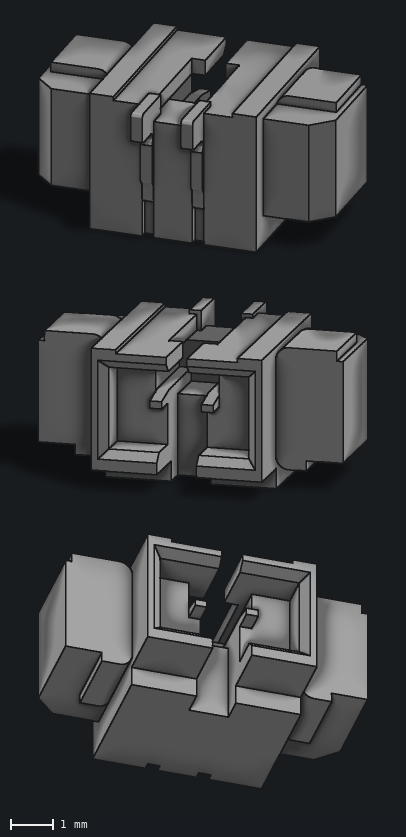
import cadquery as cq
import math

HEIGHT = 3.5
WIDTH = 7.5

HOUSING_HALF_WIDTH = 2.1
HOUSING_DEPTH = 4.5
FOOT_DEPTH = 3.19
FOOT_HEIGHT = 0.5
RECESS_HALF_WIDTH = 1.5
RECESS_DEPTH = 0.1
ROOF_Z = HEIGHT - RECESS_DEPTH

WINDOW_HALF_WIDTH = 0.6
WINDOW_REAR_Y = 3.0
WINDOW_FLOOR_Z = 3.01
REAR_GAP_HALF_WIDTH = 0.255
WELL_FRONT_Y = 1.39
WELL_FLOOR_Z = 2.0
THROUGH_SLOT_FRONT_Y = 2.59

CAVITY_HALF_WIDTH = 1.725
CAVITY_FRONT_Y = 3.525
CAVITY_BOTTOM_Z = 1.0
CAVITY_LEAD_IN = 0.21

WING_FRONT_Y = 0.495
WING_REAR_Y = 3.23
TAB_RISE = 0.25
WING_TOP_Z = HEIGHT - TAB_RISE
WING_BOTTOM_Z = FOOT_HEIGHT + TAB_RISE
WING_CHAMFER = 0.5
TAB_FRONT_Y = 1.45
UPPER_TAB_X = 3.6
LOWER_TAB_X = 2.85
TAB_BEND_RADIUS = 0.315

PIN_INNER_X = 0.49
PIN_WIDTH = 0.29
PIN_OUTER_X = PIN_INNER_X + PIN_WIDTH
GROOVE_DEPTH = 0.195
ARM_TIP_Y = -0.8
ARM_THICKNESS = 0.75
ARM_BOTTOM_Z = HEIGHT - ARM_THICKNESS
ARM_TIP_RADIUS = 0.105
POST_REAR_Y = 0.49
POST_FRONT_Y = -0.11
NECK_Y = -0.045
NECK_RADIUS = 0.14
NECK_EXIT_ANGLE = math.radians(40)
BULGE_TOP_Z = 2.42
BULGE_BOTTOM_Z = 1.52
STEP_Y = -0.02
STEP_TOP_Z = 1.32
STEP_BOTTOM_Z = 1.065
HEEL_RADIUS = 0.195
BEAM_TOP_Z = 2.35
BEAM_BEND_Z = 2.31
BEAM_BEND_Y = 3.41
BEAM_TIP_Y = 4.05
BEAM_TIP_DROP = 0.13


def block(x_range, y_range, z_range):
    """Box given by its lower and upper limits along each axis."""
    limits = (x_range, y_range, z_range)
    sizes = [high - low for low, high in limits]
    corner = tuple(low for low, high in limits)
    return cq.Workplane("XY").box(*sizes, centered=False).translate(corner)


def centred_block(half_width, y_range, z_range):
    """Box placed symmetrically about the X = 0 plane."""
    return block((-half_width, half_width), y_range, z_range)


def mirrored_pair(shape):
    """The shape together with its mirror image across the X = 0 plane."""
    return shape.union(shape.mirror("YZ"))


def housing_blank():
    upper = centred_block(HOUSING_HALF_WIDTH, (0, HOUSING_DEPTH), (FOOT_HEIGHT, HEIGHT))
    foot = centred_block(HOUSING_HALF_WIDTH, (0, FOOT_DEPTH), (0, FOOT_HEIGHT))
    recess = centred_block(RECESS_HALF_WIDTH, (0, HOUSING_DEPTH), (ROOF_Z, HEIGHT))
    return upper.union(foot).cut(recess)


def mating_cavity():
    """Rear cavity that flares out at its mouth."""
    cavity_z = (CAVITY_BOTTOM_Z, WINDOW_FLOOR_Z)
    cavity = centred_block(CAVITY_HALF_WIDTH, (CAVITY_FRONT_Y, HOUSING_DEPTH), cavity_z)
    mouth_width = 2 * (CAVITY_HALF_WIDTH + CAVITY_LEAD_IN)
    mouth_height = WINDOW_FLOOR_Z - CAVITY_BOTTOM_Z + 2 * CAVITY_LEAD_IN
    mouth_centre = (0, HOUSING_DEPTH, sum(cavity_z) / 2)
    lead_in = (
        cq.Workplane("XZ", origin=mouth_centre)
        .rect(mouth_width, mouth_height)
        .extrude(CAVITY_LEAD_IN, taper=45)
    )
    return cavity.union(lead_in)


def centre_openings():
    """Top window, the contact well below it, and the slots that open to the rear."""
    window = centred_block(WINDOW_HALF_WIDTH, (0, WINDOW_REAR_Y), (WINDOW_FLOOR_Z, HEIGHT))
    rear_gap = centred_block(REAR_GAP_HALF_WIDTH, (WINDOW_REAR_Y, HOUSING_DEPTH), (WINDOW_FLOOR_Z, HEIGHT))
    well = centred_block(PIN_OUTER_X, (WELL_FRONT_Y, CAVITY_FRONT_Y), (WELL_FLOOR_Z, WINDOW_FLOOR_Z))
    through_slot = centred_block(PIN_INNER_X, (THROUGH_SLOT_FRONT_Y, HOUSING_DEPTH), (0, WINDOW_FLOOR_Z))
    return window.union(rear_gap).union(well).union(through_slot)


def pin_groove():
    return block((PIN_INNER_X, PIN_OUTER_X), (0, GROOVE_DEPTH), (0, HEIGHT))


def wing():
    body = block((HOUSING_HALF_WIDTH, WIDTH / 2), (WING_FRONT_Y, WING_REAR_Y), (WING_BOTTOM_Z, WING_TOP_Z))
    return body.edges("|Z and >X and <Y").chamfer(WING_CHAMFER)


def solder_tab(outer_x, face_z, outward):
    """Tab on a wing, rounded where it meets the housing; outward is +1 for the top, -1 for the bottom."""
    wing_z = face_z - outward * TAB_RISE
    bend_x = HOUSING_HALF_WIDTH + TAB_BEND_RADIUS
    bend_z = face_z - outward * TAB_BEND_RADIUS
    end_angle = math.asin((TAB_BEND_RADIUS - TAB_RISE) / TAB_BEND_RADIUS)
    middle_angle = (end_angle + math.pi / 2) / 2

    def bend_point(angle):
        return (
            bend_x - TAB_BEND_RADIUS * math.cos(angle),
            bend_z + outward * TAB_BEND_RADIUS * math.sin(angle),
        )

    return (
        cq.Workplane("XZ", origin=(0, WING_REAR_Y, 0))
        .moveTo(outer_x, wing_z)
        .lineTo(outer_x, face_z)
        .lineTo(bend_x, face_z)
        .threePointArc(bend_point(middle_angle), bend_point(end_angle))
        .close()
        .extrude(WING_REAR_Y - TAB_FRONT_Y)
    )


def pin_arm():
    arm = block((PIN_INNER_X, PIN_OUTER_X), (ARM_TIP_Y, POST_REAR_Y), (ARM_BOTTOM_Z, HEIGHT))
    return arm.edges("|X and <Y").fillet(ARM_TIP_RADIUS)


def pin_post():
    """Upright part of the pin: concave neck under the arm, flat bulge, S-curved step and rounded heel."""
    neck_start_y = NECK_Y - NECK_RADIUS
    neck_centre_z = ARM_BOTTOM_Z - NECK_RADIUS
    neck_end = (
        neck_start_y + NECK_RADIUS * math.cos(NECK_EXIT_ANGLE),
        neck_centre_z - NECK_RADIUS * math.sin(NECK_EXIT_ANGLE),
    )
    step_middle = ((POST_FRONT_Y + STEP_Y) / 2, (BULGE_BOTTOM_Z + STEP_TOP_Z) / 2)
    heel_middle = (
        STEP_Y + HEEL_RADIUS * (1 - math.cos(math.pi / 4)),
        STEP_BOTTOM_Z - HEEL_RADIUS * math.sin(math.pi / 4),
    )
    return (
        cq.Workplane("YZ", origin=(PIN_INNER_X, 0, 0))
        .moveTo(POST_REAR_Y, ARM_BOTTOM_Z)
        .lineTo(neck_start_y, ARM_BOTTOM_Z)
        .threePointArc((NECK_Y, neck_centre_z), neck_end)
        .lineTo(POST_FRONT_Y, BULGE_TOP_Z)
        .lineTo(POST_FRONT_Y, BULGE_BOTTOM_Z)
        .tangentArcPoint(step_middle, relative=False)
        .tangentArcPoint((STEP_Y, STEP_TOP_Z), relative=False)
        .lineTo(STEP_Y, STEP_BOTTOM_Z)
        .threePointArc(heel_middle, (STEP_Y + HEEL_RADIUS, STEP_BOTTOM_Z - HEEL_RADIUS))
        .lineTo(POST_REAR_Y, STEP_BOTTOM_Z - HEEL_RADIUS)
        .close()
        .extrude(PIN_WIDTH)
    )


def pin_beam():
    """Contact beam that slopes gently to the rear along the well floor and dips at its tip."""
    return (
        cq.Workplane("YZ", origin=(PIN_INNER_X, 0, 0))
        .moveTo(POST_REAR_Y, WELL_FLOOR_Z)
        .lineTo(POST_REAR_Y, BEAM_TOP_Z)
        .lineTo(BEAM_BEND_Y, BEAM_BEND_Z)
        .lineTo(BEAM_TIP_Y, BEAM_BEND_Z - BEAM_TIP_DROP)
        .lineTo(BEAM_TIP_Y, WELL_FLOOR_Z)
        .close()
        .extrude(PIN_WIDTH)
    )


housing = (
    housing_blank()
    .cut(mating_cavity())
    .cut(centre_openings())
    .cut(mirrored_pair(pin_groove()))
)

right_side = (
    wing()
    .union(solder_tab(UPPER_TAB_X, HEIGHT, 1))
    .union(solder_tab(LOWER_TAB_X, FOOT_HEIGHT, -1))
)
right_pin = pin_arm().union(pin_post()).union(pin_beam())

result = housing.union(mirrored_pair(right_side)).union(mirrored_pair(right_pin))